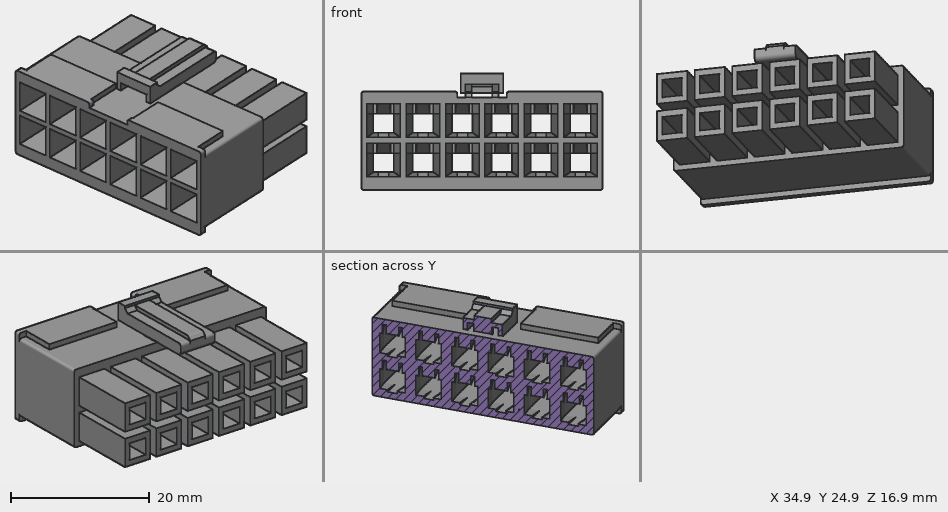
import cadquery as cq
import math

COLUMNS = 6
ROWS = 2
PITCH = 5.68
LOWER_ROW_Z = 4.35

WIDTH = 34.85
TOTAL_LENGTH = 24.92
HOUSING_LENGTH = 14.0
FLANGE_THICKNESS = 0.98
FLANGE_HEIGHT = 14.25
FLANGE_LIP = 0.87
HOUSING_TOP = FLANGE_HEIGHT - FLANGE_LIP
EDGE_RADIUS = 0.42

NOTCH_HALF_WIDTH = 3.55
PAD_INNER_X = NOTCH_HALF_WIDTH + EDGE_RADIUS
PAD_OUTER_X = 16.17
PAD_LENGTH = 6.48

TOWER_SIZE = 4.55
TOWER_RISE = -0.35

POCKET_SIZE = 4.85
FUNNEL_LENGTH = 5.58
FUNNEL_START = HOUSING_LENGTH - FUNNEL_LENGTH
WINDOW_WIDTH = 2.93
WINDOW_HEIGHT = 2.7
WINDOW_BOTTOM = 0.7
WINDOW_TOP = WINDOW_BOTTOM + WINDOW_HEIGHT
UPPER_LENGTH = FUNNEL_LENGTH / 2
RAMP_FRONT_WIDTH = 1.7
RAMP_BACK_WIDTH = 2.02
FLOOR_GROOVE_WIDTH = 1.5

LATCH_TOP = 16.85
LATCH_BOTTOM = 14.0
LATCH_HALF_WIDTH = 3.1
LATCH_FRONT = 5.75
LATCH_BACK = 20.63
HEAD_BACK = 7.32
SPINE_TOP = 16.52
SPINE_HALF_WIDTH = 1.35
SPINE_BEVEL = 0.63
RAIL_TOP = SPINE_TOP - SPINE_BEVEL
RAIL_RADIUS = 0.5
TIP_RADIUS = 0.7
RECESS_HALF_WIDTH = 2.4
RECESS_TOP = 15.25
RECESS_BACK = 10.98
RECESS_WALL_ANGLE = 28.5

STOP_FRONT = RECESS_BACK - 0.35
STOP_BEVEL_HEIGHT = 0.3
STOP_BEVEL_DEPTH = 0.15

LEG_INNER_X = 1.45
LEG_TOP_FRONT = 11.55
LEG_TOP_BACK = 12.95
LEG_FLARE = 0.5
LEG_OVERLAP = 0.2


def box(x0, x1, y0, y1, z0, z1):
    return cq.Workplane("XY").box(x1 - x0, y1 - y0, z1 - z0, centered=False).translate((x0, y0, z0))


def side_profile(points, x0, x1):
    """Extrude a closed (y, z) outline from x0 to x1."""
    return cq.Workplane("YZ", origin=(x0, 0, 0)).polyline(points).close().extrude(x1 - x0)


def tapered(y0, y1, front, back):
    """Loft between two (width, z0, z1) rectangles centred on x = 0, lying in y0 and y1."""
    def rectangle(wp, size):
        width, z0, z1 = size
        half = width / 2
        return wp.polyline([(-half, z0), (half, z0), (half, z1), (-half, z1)]).close()

    wires = rectangle(cq.Workplane("XZ", origin=(0, y0, 0)), front)
    wires = rectangle(wires.workplane(offset=y0 - y1), back)
    return wires.loft(ruled=True)


def make_housing():
    half = WIDTH / 2
    shell = box(-half, half, 0, HOUSING_LENGTH, FLANGE_LIP, HOUSING_TOP).edges("|Y").fillet(EDGE_RADIUS)
    flange = box(-half, half, 0, FLANGE_THICKNESS, 0, FLANGE_HEIGHT).cut(
        box(-NOTCH_HALF_WIDTH, NOTCH_HALF_WIDTH, 0, FLANGE_THICKNESS, HOUSING_TOP, FLANGE_HEIGHT)
    )
    flange = flange.edges("|Y and (>Z or <Z)").fillet(EDGE_RADIUS)
    body = shell.union(flange)
    for x0, x1 in ((-PAD_OUTER_X, -PAD_INNER_X), (PAD_INNER_X, PAD_OUTER_X)):
        body = body.union(box(x0, x1, FLANGE_THICKNESS, PAD_LENGTH, HOUSING_TOP, FLANGE_HEIGHT))
    return body


def make_tower():
    """Rear tower of one contact position, with its pocket floor on z = 0."""
    z0 = (POCKET_SIZE - TOWER_SIZE) / 2 + TOWER_RISE
    half = TOWER_SIZE / 2
    return box(-half, half, HOUSING_LENGTH, TOTAL_LENGTH, z0, z0 + TOWER_SIZE)


def make_cavity():
    """Removed volume of one contact position, centred on x = 0 with its floor on z = 0."""
    half = POCKET_SIZE / 2
    upper_end = FUNNEL_START + UPPER_LENGTH
    mouth = box(-half, half, 0, FUNNEL_START, 0, POCKET_SIZE)
    lower = tapered(
        FUNNEL_START, HOUSING_LENGTH,
        (POCKET_SIZE, 0, WINDOW_TOP), (WINDOW_WIDTH, WINDOW_BOTTOM, WINDOW_TOP),
    )
    upper = tapered(
        FUNNEL_START, upper_end,
        (POCKET_SIZE, WINDOW_TOP, POCKET_SIZE), (WINDOW_WIDTH, WINDOW_TOP, POCKET_SIZE),
    )
    ramp = tapered(
        FUNNEL_START, upper_end,
        (RAMP_FRONT_WIDTH, WINDOW_TOP, POCKET_SIZE), (RAMP_BACK_WIDTH, WINDOW_TOP, POCKET_SIZE),
    ).intersect(
        side_profile(
            [(FUNNEL_START, POCKET_SIZE), (upper_end, WINDOW_TOP), (upper_end, POCKET_SIZE)], -half, half
        )
    )
    window = box(
        -WINDOW_WIDTH / 2, WINDOW_WIDTH / 2, FUNNEL_START, TOTAL_LENGTH, WINDOW_BOTTOM, WINDOW_TOP
    )
    groove = box(
        -FLOOR_GROOVE_WIDTH / 2, FLOOR_GROOVE_WIDTH / 2, FUNNEL_START, HOUSING_LENGTH, 0, WINDOW_BOTTOM
    )
    return mouth.union(lower).union(upper.cut(ramp)).union(window).union(groove)


def make_latch():
    ramp_length = SPINE_TOP - RAIL_TOP
    beam = side_profile(
        [
            (LATCH_FRONT, LATCH_BOTTOM),
            (LATCH_FRONT, LATCH_TOP),
            (HEAD_BACK, LATCH_TOP),
            (HEAD_BACK, SPINE_TOP),
            (HEAD_BACK + ramp_length, RAIL_TOP),
            (LATCH_BACK, RAIL_TOP),
            (LATCH_BACK, LATCH_BOTTOM),
        ],
        -LATCH_HALF_WIDTH, LATCH_HALF_WIDTH,
    )
    beam = beam.faces(">Y").edges("<Z").fillet(TIP_RADIUS)
    beam = beam.faces(">Y").edges(">Z").fillet(RAIL_RADIUS)

    spine = side_profile(
        [
            (LATCH_FRONT, RECESS_TOP),
            (LATCH_FRONT, SPINE_TOP),
            (LATCH_BACK - SPINE_BEVEL, SPINE_TOP),
            (LATCH_BACK, RAIL_TOP),
            (LATCH_BACK, RECESS_TOP),
        ],
        -SPINE_HALF_WIDTH, SPINE_HALF_WIDTH,
    )
    spine = spine.faces(">Z").edges(">Y").fillet(SPINE_BEVEL)

    lean = (RECESS_TOP - LATCH_BOTTOM) * math.tan(math.radians(RECESS_WALL_ANGLE))
    recess = side_profile(
        [
            (LATCH_FRONT, LATCH_BOTTOM),
            (LATCH_FRONT, RECESS_TOP),
            (RECESS_BACK, RECESS_TOP),
            (RECESS_BACK + lean, LATCH_BOTTOM),
        ],
        -RECESS_HALF_WIDTH, RECESS_HALF_WIDTH,
    )
    stop = side_profile(
        [
            (STOP_FRONT, LATCH_BOTTOM),
            (STOP_FRONT, RECESS_TOP - STOP_BEVEL_HEIGHT),
            (STOP_FRONT - STOP_BEVEL_DEPTH, RECESS_TOP),
            (LATCH_BACK - TIP_RADIUS, RECESS_TOP),
            (LATCH_BACK - TIP_RADIUS, LATCH_BOTTOM),
        ],
        -LEG_INNER_X, LEG_INNER_X,
    )
    return beam.union(spine).cut(recess).union(stop)


def make_leg(x0, x1):
    """One flared leg joining the latch to the housing top."""
    z0 = HOUSING_TOP - LEG_OVERLAP
    z1 = LATCH_BOTTOM + LEG_OVERLAP
    outline = [
        (LEG_TOP_FRONT - LEG_FLARE, z0),
        (LEG_TOP_FRONT - LEG_FLARE, HOUSING_TOP),
        (LEG_TOP_FRONT, LATCH_BOTTOM),
        (LEG_TOP_FRONT, z1),
        (LEG_TOP_BACK, z1),
        (LEG_TOP_BACK, LATCH_BOTTOM),
        (LEG_TOP_BACK + LEG_FLARE, HOUSING_TOP),
        (LEG_TOP_BACK + LEG_FLARE, z0),
    ]
    return side_profile(outline, x0, x1)


result = make_housing()

tower = make_tower()
cavity = make_cavity()
first_x = -(COLUMNS - 1) / 2 * PITCH
floor_z = LOWER_ROW_Z - POCKET_SIZE / 2
for row in range(ROWS):
    for column in range(COLUMNS):
        place = (first_x + column * PITCH, 0, floor_z + row * PITCH)
        result = result.union(tower.translate(place)).cut(cavity.translate(place))

result = result.union(make_latch())
for x0, x1 in ((-RECESS_HALF_WIDTH, -LEG_INNER_X), (LEG_INNER_X, RECESS_HALF_WIDTH)):
    result = result.union(make_leg(x0, x1))